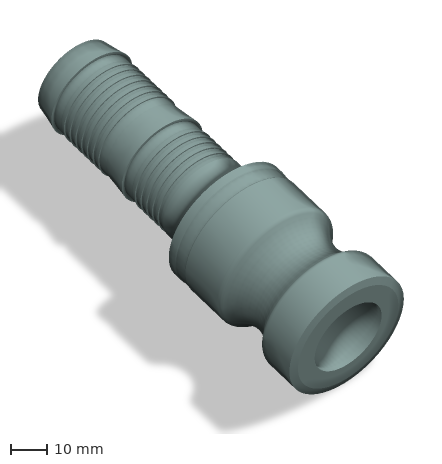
import cadquery as cq
import math

length = 120.0
bore_radius = 24.0 / 2

tip_radius = 25.9 / 2
tip_round = 0.5
root_radius = 27.0 / 2
shank_radius = 28.0 / 2
barb_radius = 29.0 / 2
barb_length = 8.0
second_barb_start = 30.7

tooth_length = 1.8
first_teeth_span = 15.0
first_teeth_start = 11.0
first_teeth_count = 7
tooth_pitch = first_teeth_span / (first_teeth_count - 1)
second_teeth_start = 42.0
second_teeth_count = 6

body_radius = 41.0 / 2
face_angle = math.radians(15)
shoulder_x = 66.6
shoulder_fillet = 3.0
end_face_radius = 18.0

band_radius = 40.5 / 2
band_start = 69.2
band_end = 73.9
band_wall = 0.4

cam_x = 97.9
cam_floor_radius = 15.6
cam_arc_radius = 11.0
cam_edge_round = 2.0


def add_teeth(profile, start, count):
    """Continue the profile with ramped teeth and square drops between them, ending on the last crest."""
    for i in range(count):
        ramp_x = start + i * tooth_pitch
        profile = profile.lineTo(ramp_x, root_radius).lineTo(ramp_x + tooth_length, shank_radius)
        if i < count - 1:
            profile = profile.lineTo(ramp_x + tooth_length, root_radius)
    return profile


def add_barbs_and_teeth(profile):
    """Both hose barbs, each followed by its group of teeth; the last crest runs on into the shank."""
    profile = profile.lineTo(barb_length, barb_radius).lineTo(barb_length, root_radius)
    profile = add_teeth(profile, first_teeth_start, first_teeth_count)
    first_teeth_end = first_teeth_start + (first_teeth_count - 1) * tooth_pitch + tooth_length
    second_barb_end = second_barb_start + barb_length
    profile = profile.lineTo(first_teeth_end, root_radius).lineTo(second_barb_start, root_radius)
    profile = profile.lineTo(second_barb_end, barb_radius).lineTo(second_barb_end, root_radius)
    return add_teeth(profile, second_teeth_start, second_teeth_count)


def add_shoulder(profile):
    """Fillet from the shank, tangent to the leaning shoulder face."""
    end_radius = shank_radius + shoulder_fillet * (1 - math.sin(face_angle))
    end_x = shoulder_x - (body_radius - end_radius) * math.tan(face_angle)
    start_x = end_x - shoulder_fillet * math.cos(face_angle)
    profile = profile.lineTo(start_x, shank_radius)
    profile = profile.tangentArcPoint((end_x, end_radius), relative=False)
    return profile.lineTo(shoulder_x, body_radius)


def add_marking_band(profile):
    """Shallow recess with sloping walls."""
    profile = profile.lineTo(band_start, body_radius).lineTo(band_start + band_wall, band_radius)
    return profile.lineTo(band_end - band_wall, band_radius).lineTo(band_end, body_radius)


def add_cam_groove(profile):
    """Groove arc blended into the body by a tangent round on either side."""
    arc_centre_radius = cam_floor_radius + cam_arc_radius
    round_centre_radius = body_radius - cam_edge_round
    centre_distance = cam_arc_radius + cam_edge_round
    blend_angle = math.acos((arc_centre_radius - round_centre_radius) / centre_distance)
    half_width = centre_distance * math.sin(blend_angle)
    tangent_offset = cam_arc_radius * math.sin(blend_angle)
    tangent_radius = arc_centre_radius - cam_arc_radius * math.cos(blend_angle)

    profile = profile.lineTo(cam_x - half_width, body_radius)
    profile = profile.tangentArcPoint((cam_x - tangent_offset, tangent_radius), relative=False)
    profile = profile.threePointArc((cam_x, cam_floor_radius), (cam_x + tangent_offset, tangent_radius))
    return profile.tangentArcPoint((cam_x + half_width, body_radius), relative=False)


def add_end_face(profile):
    """Leaning outer part of the end face, then the flat end."""
    end_bevel_x = length - (body_radius - end_face_radius) * math.tan(face_angle)
    profile = profile.lineTo(end_bevel_x, body_radius).lineTo(length, end_face_radius)
    return profile.lineTo(length, bore_radius)


profile = cq.Workplane("XY").moveTo(0, bore_radius)
profile = profile.lineTo(0, tip_radius - tip_round)
profile = profile.radiusArc((tip_round, tip_radius), tip_round)
profile = add_barbs_and_teeth(profile)
profile = add_shoulder(profile)
profile = add_marking_band(profile)
profile = add_cam_groove(profile)
profile = add_end_face(profile)

result = profile.close().revolve(360, (0, 0, 0), (1, 0, 0))